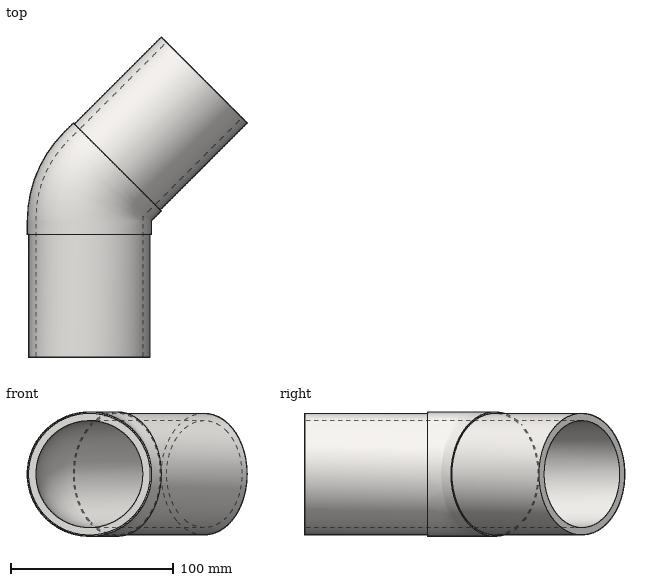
import math

import cadquery as cq

pipe_diameter = 75.0
bend_diameter = 76.7
bore_diameter = 65.9
bend_angle = 45.0
bend_radius = 38.7
bore_bend_radius = 33.5
collar_length = 8.3
leg_length = 84.0

bore_bend_start = (bend_radius - bore_bend_radius) * math.tan(math.radians(bend_angle / 2))
bore_leg_length = leg_length + bore_bend_start


def bend(diameter, radius):
    """Curved stretch from the origin, turning from +Y towards +X."""
    pivot = (radius, 0)
    axis_end = (radius, -1)
    return cq.Workplane("XZ").circle(diameter / 2).revolve(bend_angle, pivot, axis_end)


def near_leg(diameter, length):
    """Straight stretch from the origin towards -Y."""
    return cq.Workplane("XZ").circle(diameter / 2).extrude(length)


def far_leg(diameter, length, radius):
    """Matching straight stretch at the other end of a bend of this radius."""
    pivot = (radius, 0, 0)
    pivot_top = (radius, 0, 1)
    outward = near_leg(diameter, length).mirror("XZ")
    return outward.rotate(pivot, pivot_top, -bend_angle)


def elbow(diameter, length, radius):
    """Bend with a straight leg at both ends."""
    curved = bend(diameter, radius)
    return curved.union(near_leg(diameter, length)).union(far_leg(diameter, length, radius))


fitting = elbow(bend_diameter, collar_length, bend_radius)
fitting = fitting.union(near_leg(pipe_diameter, leg_length))
fitting = fitting.union(far_leg(pipe_diameter, leg_length, bend_radius))

bore = elbow(bore_diameter, bore_leg_length, bore_bend_radius)
result = fitting.cut(bore.translate((0, bore_bend_start, 0)))